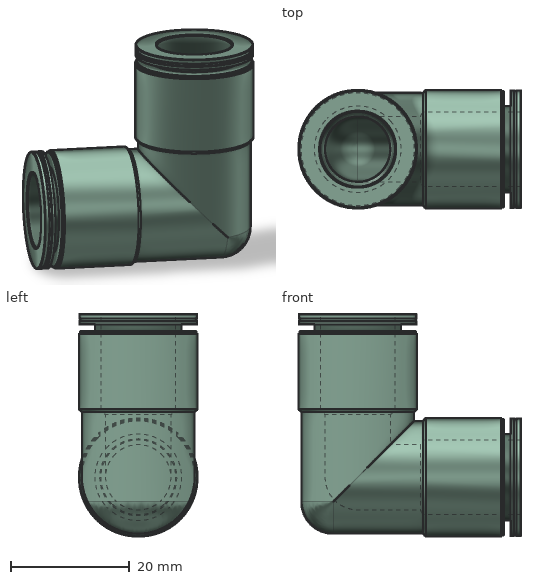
import cadquery as cq
import math

overall = 37.5
sleeve_d = 20.0
pipe_d = 19.0
shoulder_d = 19.6
neck_d = 14.6
flange_d = 19.8
groove_d = 19.6
bore_d = 11.0
socket_d = 12.6
cone_half_angle = 60.0

reach = overall - sleeve_d / 2
groove_start = reach - 0.75
groove_width = 0.4
flange_length = 1.75
neck_length = 1.12
shoulder_length = 0.5
sleeve_length = 13.12
sleeve_chamfer = (sleeve_d - pipe_d) / 2
shoulder_chamfer = 0.15
rim_chamfer = (flange_d - groove_d) / 2
mouth_chamfer = 0.2
bend_radius = 5.45

flange_start = reach - flange_length
shoulder_end = flange_start - neck_length
sleeve_end = shoulder_end - shoulder_length
sleeve_start = sleeve_end - sleeve_length
socket_bottom = sleeve_start
pipe_r = pipe_d / 2
bore_r = bore_d / 2
cone_depth = (socket_d - bore_d) / 2 / math.tan(math.radians(cone_half_angle))


def revolve_on_z(points):
    """Turn (radius, height) points about the Z axis."""
    return cq.Workplane("XZ").polyline(points).close().revolve(360, (0, 0, 0), (0, 1, 0))


def cylinder(diameter, start, end):
    return cq.Workplane("XY").workplane(offset=start).circle(diameter / 2).extrude(end - start)


def on_x(upright):
    """Mirror an upright body across the plane x = z, so that it lies along X."""
    turned = upright.rotate((0, 0, 0), (0, 1, 0), 90)
    return turned.mirror("XY")


def arm_end():
    """Sleeve, shoulder, neck and grooved release flange."""
    sleeve = revolve_on_z([
        (0, sleeve_start),
        (pipe_r, sleeve_start),
        (sleeve_d / 2, sleeve_start + sleeve_chamfer),
        (sleeve_d / 2, sleeve_end),
        (0, sleeve_end),
    ])
    shoulder = cylinder(shoulder_d, sleeve_end, shoulder_end).faces(">Z").chamfer(shoulder_chamfer)
    neck = cylinder(neck_d, shoulder_end, flange_start)
    inner_flange = cylinder(flange_d, flange_start, groove_start - groove_width)
    inner_flange = inner_flange.faces(">Z").chamfer(rim_chamfer)
    groove = cylinder(groove_d, groove_start - groove_width, groove_start)
    end_flange = cylinder(flange_d, groove_start, reach).faces(">Z").chamfer(rim_chamfer)
    return sleeve.union(shoulder).union(neck).union(inner_flange).union(groove).union(end_flange)


def mitred_pipe():
    """Upright pipe, cut on the plane x = z and short of the outer corner."""
    corner = bend_radius - pipe_r
    side = (
        cq.Workplane("XZ")
        .polyline([
            (-pipe_r, corner),
            (corner, corner),
            (sleeve_start, sleeve_start),
            (-pipe_r, sleeve_start),
        ])
        .close()
        .extrude(pipe_r, both=True)
    )
    return cylinder(pipe_d, -pipe_r, sleeve_start).intersect(side)


def outer_corner():
    """Outer segment of the pipe section, swept a quarter turn about a Y-parallel axis."""
    corner = bend_radius - pipe_r
    half_chord = math.sqrt(pipe_r**2 - corner**2)
    return (
        cq.Workplane("XY")
        .workplane(offset=corner)
        .moveTo(corner, -half_chord)
        .threePointArc((-pipe_r, 0), (corner, half_chord))
        .close()
        .revolve(90, (corner, 0.38, 0), (corner, 0, 0))
    )


def arm_hollow():
    """Bore, seat cone, tube socket and chamfered mouth."""
    return revolve_on_z([
        (0, 0),
        (bore_r, 0),
        (bore_r, socket_bottom - cone_depth),
        (socket_d / 2, socket_bottom),
        (socket_d / 2, reach - mouth_chamfer),
        (socket_d / 2 + mouth_chamfer, reach),
        (0, reach),
    ])


pipe = mitred_pipe()
end = arm_end()
hollow = arm_hollow()

elbow = pipe.union(on_x(pipe)).union(outer_corner())
body = elbow.union(end).union(on_x(end))
result = body.cut(hollow).cut(on_x(hollow)).cut(cq.Workplane("XY").sphere(bore_r))